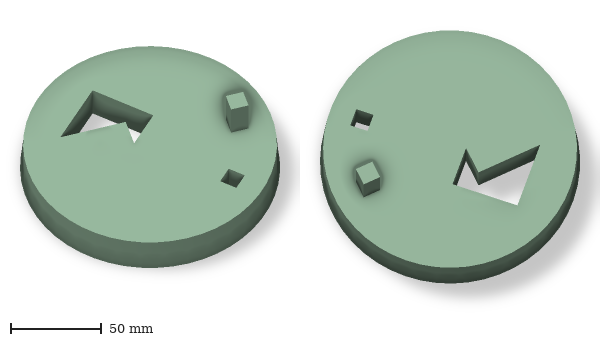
import cadquery as cq
import math

base_radius = 71.5
top_radius = 69.8
disc_height = 20.0

peg_side = 10.0
peg_height = 20.0
peg_center_y = 50.0

hole_side = peg_side
hole_center = (36.3, 36.3)
hole_angle = 45

window_spine_x = -19.2
window_center_y = -19.0
large_reach = 26.7
small_reach = 15.9

window_top_y = window_center_y + large_reach
window_bottom_y = window_center_y - large_reach
step_y = window_top_y - small_reach


def make_disc():
    taper = math.degrees(math.atan2(base_radius - top_radius, disc_height))
    return cq.Workplane("XY").circle(base_radius).extrude(disc_height, taper=taper)


def make_peg():
    return (
        cq.Workplane("XY", origin=(0, peg_center_y, 0))
        .rect(peg_side, peg_side)
        .extrude(disc_height + peg_height)
    )


def make_square_hole():
    return (
        cq.Workplane("XY")
        .rect(hole_side, hole_side)
        .extrude(disc_height)
        .rotate((0, 0, 0), (0, 0, 1), hole_angle)
        .translate((*hole_center, 0))
    )


def make_arrow_window():
    outline = [
        (window_spine_x, window_top_y),
        (window_spine_x - large_reach, window_center_y),
        (window_spine_x, window_bottom_y),
        (window_spine_x, step_y),
        (window_spine_x + small_reach, step_y),
    ]
    return cq.Workplane("XY").polyline(outline).close().extrude(disc_height)


result = make_disc().union(make_peg()).cut(make_square_hole()).cut(make_arrow_window())